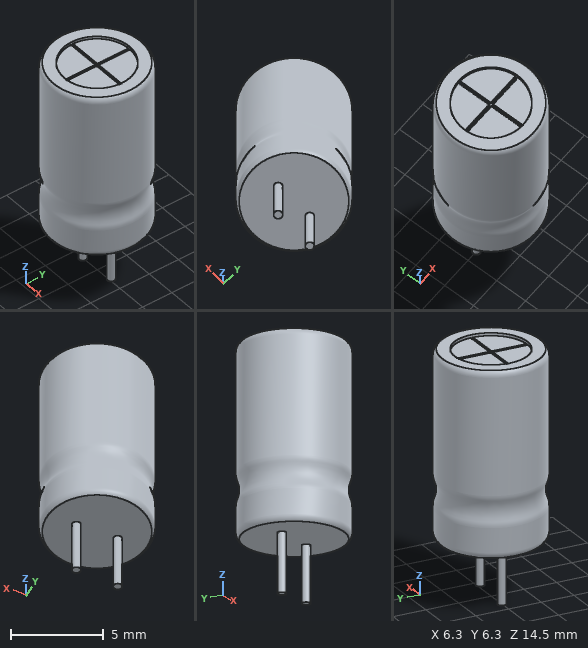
import cadquery as cq
import math

can_radius = 3.15
can_height = 11.05

rim_inset = 0.19
rim_height = 0.36

groove_center = 2.79
groove_width = 1.89
groove_depth = 0.19
shoulder_height = 0.35

recess_radius = 2.21
recess_depth = 0.17
score_width = 0.13
score_depth = 0.1

lead_radius = 0.25
lead_spacing = 2.5
total_height = 14.53
long_lead = total_height - can_height
short_lead = 3.31
lead_embed = 0.29


def make_can():
    end_radius = can_radius - rim_inset
    groove_bottom = groove_center - groove_width / 2
    groove_top = groove_center + groove_width / 2
    shoulder_drop = groove_depth * shoulder_height / (groove_width / 2)
    shoulder_radius = can_radius - shoulder_drop

    profile = (
        cq.Workplane("XZ")
        .lineTo(end_radius, 0)
        .threePointArc(rim_midpoint(), (can_radius, rim_height))
        .lineTo(can_radius, groove_bottom)
        .tangentArcPoint((shoulder_radius, groove_bottom + shoulder_height), relative=False)
        .tangentArcPoint((shoulder_radius, groove_top - shoulder_height), relative=False)
        .tangentArcPoint((can_radius, groove_top), relative=False)
        .lineTo(can_radius, can_height - rim_height)
        .tangentArcPoint((end_radius, can_height), relative=False)
        .lineTo(0, can_height)
        .close()
    )
    return profile.revolve(360, (0, 0, 0), (0, 1, 0))


def rim_midpoint():
    """Point halfway along the bottom rim arc."""
    sweep = 2 * math.atan2(rim_inset, rim_height)
    radius = rim_height / math.sin(sweep)
    x = can_radius - radius * (1 - math.cos(sweep / 2))
    z = rim_height - radius * math.sin(sweep / 2)
    return x, z


def make_vent():
    floor = can_height - recess_depth
    recess = cq.Workplane("XY").workplane(offset=floor).circle(recess_radius).extrude(recess_depth)
    score_plane = cq.Workplane("XY").workplane(offset=floor - score_depth)
    score_length = 2 * recess_radius
    cross = score_plane.rect(score_length, score_width).extrude(score_depth)
    cross = cross.union(score_plane.rect(score_width, score_length).extrude(score_depth))
    outline = score_plane.circle(recess_radius).extrude(score_depth)
    return recess.union(cross.intersect(outline))


def make_lead(x, length):
    start = cq.Workplane("XY").workplane(offset=-length).center(x, 0)
    return start.circle(lead_radius).extrude(length + lead_embed)


result = (
    make_can()
    .cut(make_vent())
    .union(make_lead(-lead_spacing / 2, long_lead))
    .union(make_lead(lead_spacing / 2, short_lead))
)